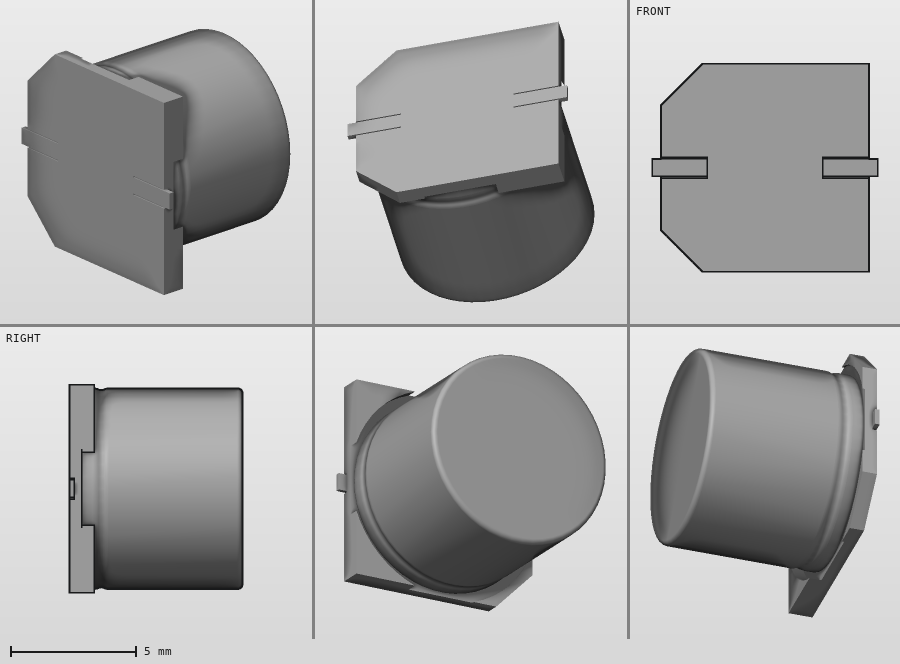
import cadquery as cq
import math


BASE_WIDTH = 8.3
BASE_THICKNESS = 0.6
CORNER_CHAMFER = BASE_WIDTH / 5
POST_TOP = 1.0
SEAT_RADIUS = 4.4
SEAT_DEPTH = 0.1
SEAT_FLOOR = BASE_THICKNESS - SEAT_DEPTH

CAN_RADIUS = 4.0
CAN_TOP = 6.9
END_ROUNDING = 0.2
CAN_BOTTOM = BASE_THICKNESS - END_ROUNDING

GROOVE_CENTRE = 1.265
GROOVE_HALF_HEIGHT = 0.3
THROAT_HALF_HEIGHT = 0.115
GROOVE_DEPTH = 0.065

LEAD_SPAN = 9.0
LEAD_LENGTH = 2.2
LEAD_WIDTH = 0.7
LEAD_THICKNESS = 0.2
SLOT_WIDTH = 0.82
LEAD_INNER_END = LEAD_SPAN / 2 - LEAD_LENGTH


def block(x_start, x_end, y_start, y_end, z_start, z_end):
    """Box between the given limits."""
    return cq.Workplane("XY").box(
        x_end - x_start, y_end - y_start, z_end - z_start, centered=False
    ).translate((x_start, y_start, z_start))


def cylinder(radius, y_start, y_end):
    """Cylinder about the Y axis between two heights."""
    return cq.Workplane("XZ", origin=(0, y_start, 0)).circle(radius).extrude(y_start - y_end)


def lead_strip(side, x_end, width):
    """Flat strip on the mounting face, from a lead's inner end outward; side is -1 or +1 along X."""
    x_start, x_stop = sorted((side * LEAD_INNER_END, side * x_end))
    return block(x_start, x_stop, 0, LEAD_THICKNESS, -width / 2, width / 2)


def make_base(can):
    """Square plate with two cut corners, two raised corners, a seat fitting the can and two lead slots."""
    half = BASE_WIDTH / 2
    base = block(-half, half, 0, BASE_THICKNESS, -half, half)
    base = base.edges("|Y and <X").chamfer(CORNER_CHAMFER)

    base = base.union(block(0, half, BASE_THICKNESS, POST_TOP, -half, half))
    base = base.cut(cylinder(SEAT_RADIUS, SEAT_FLOOR, POST_TOP))
    base = base.cut(can)

    for side in (-1, 1):
        base = base.cut(lead_strip(side, half, SLOT_WIDTH))
    return base


def make_can():
    """Closed can turned about the Y axis, with rounded ends and a crimp groove."""
    turn = 2 * math.atan(GROOVE_DEPTH / GROOVE_HALF_HEIGHT)
    hollow_radius = THROAT_HALF_HEIGHT / math.sin(turn)
    throat_radius = CAN_RADIUS - GROOVE_DEPTH
    lip_radial = throat_radius + hollow_radius * (1 - math.cos(turn))

    profile = (
        cq.Workplane("XY")
        .moveTo(0, CAN_BOTTOM)
        .lineTo(CAN_RADIUS - END_ROUNDING, CAN_BOTTOM)
        .tangentArcPoint((CAN_RADIUS, CAN_BOTTOM + END_ROUNDING), relative=False)
        .lineTo(CAN_RADIUS, GROOVE_CENTRE - GROOVE_HALF_HEIGHT)
        .tangentArcPoint((lip_radial, GROOVE_CENTRE - THROAT_HALF_HEIGHT), relative=False)
        .threePointArc((throat_radius, GROOVE_CENTRE), (lip_radial, GROOVE_CENTRE + THROAT_HALF_HEIGHT))
        .tangentArcPoint((CAN_RADIUS, GROOVE_CENTRE + GROOVE_HALF_HEIGHT), relative=False)
        .lineTo(CAN_RADIUS, CAN_TOP - END_ROUNDING)
        .tangentArcPoint((CAN_RADIUS - END_ROUNDING, CAN_TOP), relative=False)
        .lineTo(0, CAN_TOP)
        .close()
    )
    return profile.revolve(360, (0, 0, 0), (0, 1, 0))


can = make_can()
base = make_base(can)
leads = [lead_strip(side, LEAD_SPAN / 2, LEAD_WIDTH) for side in (-1, 1)]

result = cq.Compound.makeCompound([base.val(), can.val(), *[lead.val() for lead in leads]])